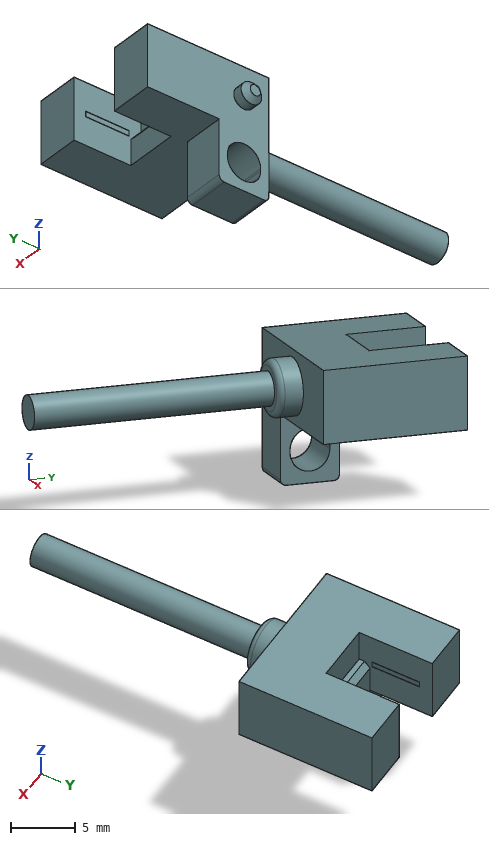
import cadquery as cq

BODY_WIDTH = 13.5
BODY_DEPTH = 12.05
BODY_HEIGHT = 6.0
LEFT_FACE = -BODY_WIDTH / 2
MID_HEIGHT = -BODY_HEIGHT / 2

SLOT_WIDTH = 5.08
SLOT_DEPTH = 6.6
SLOT_END = BODY_DEPTH - SLOT_DEPTH

STEP_LENGTH = 1.0
STEP_CHAMFER = 0.5
STEP_HEIGHT = BODY_HEIGHT / 2

WINDOW_HEIGHT = 0.5
WINDOW_MARGIN = 1.15
WINDOW_RECESS = 0.05

LEG_WIDTH = 4.02
LEG_DEPTH = 4.95
TOTAL_HEIGHT = 11.8
LEG_FILLET = 0.5
LEG_CENTRE_Y = LEG_DEPTH / 2

HOLE_WIDTH = 3.3
HOLE_HEIGHT = 3.5
HOLE_CENTRE_Z = -9.07

PIN_DIAMETER = 2.05
PIN_LENGTH = 1.43
PIN_CHAMFER = 0.5

COLLAR_DIAMETER = 4.7
COLLAR_LENGTH = 2.05
COLLAR_FILLET = 0.5
CABLE_DIAMETER = 2.8
TOTAL_LENGTH = 34.1
CABLE_REACH = TOTAL_LENGTH - BODY_DEPTH


def box_between(x_range, y_range, z_range):
    """Axis-aligned box spanning the given (low, high) ranges."""
    lows, highs = zip(x_range, y_range, z_range)
    sizes = [high - low for low, high in zip(lows, highs)]
    return cq.Workplane("XY").box(*sizes, centered=False).translate(lows)


def make_body():
    half_width = BODY_WIDTH / 2
    half_slot = SLOT_WIDTH / 2
    block = box_between((-half_width, half_width), (0, BODY_DEPTH), (-BODY_HEIGHT, 0))
    slot = box_between((-half_slot, half_slot), (SLOT_END, BODY_DEPTH), (-BODY_HEIGHT, 0))
    return block.cut(slot)


def make_slot_step():
    half_slot = SLOT_WIDTH / 2
    step = box_between(
        (-half_slot, half_slot),
        (SLOT_END, SLOT_END + STEP_LENGTH),
        (-BODY_HEIGHT, STEP_HEIGHT - BODY_HEIGHT),
    )
    return step.edges(">Y and >Z").chamfer(STEP_CHAMFER)


def make_windows():
    """One bar across the slot that cuts the window into both walls."""
    half_span = SLOT_WIDTH / 2 + WINDOW_RECESS
    half_height = WINDOW_HEIGHT / 2
    return box_between(
        (-half_span, half_span),
        (SLOT_END + WINDOW_MARGIN, BODY_DEPTH - WINDOW_MARGIN),
        (MID_HEIGHT - half_height, MID_HEIGHT + half_height),
    )


def make_leg():
    leg = box_between((LEFT_FACE, LEFT_FACE + LEG_WIDTH), (0, LEG_DEPTH), (-TOTAL_HEIGHT, MID_HEIGHT))
    return leg.edges("|X and <Z").fillet(LEG_FILLET)


def make_leg_hole():
    return (
        cq.Workplane("YZ", origin=(LEFT_FACE, LEG_CENTRE_Y, HOLE_CENTRE_Z))
        .slot2D(HOLE_HEIGHT, HOLE_WIDTH, 90)
        .extrude(LEG_WIDTH)
    )


def make_pin():
    pin = (
        cq.Workplane("YZ", origin=(LEFT_FACE, LEG_CENTRE_Y, MID_HEIGHT))
        .circle(PIN_DIAMETER / 2)
        .extrude(-PIN_LENGTH)
    )
    return pin.faces("<X").edges().chamfer(PIN_CHAMFER)


def make_cable():
    front = cq.Workplane("XZ", origin=(0, 0, MID_HEIGHT))
    collar = front.circle(COLLAR_DIAMETER / 2).extrude(COLLAR_LENGTH)
    collar = collar.faces("<Y").edges().fillet(COLLAR_FILLET)
    cable = front.circle(CABLE_DIAMETER / 2).extrude(CABLE_REACH)
    return collar.union(cable)


result = (
    make_body()
    .union(make_slot_step())
    .union(make_leg())
    .union(make_pin())
    .union(make_cable())
    .cut(make_windows())
    .cut(make_leg_hole())
)